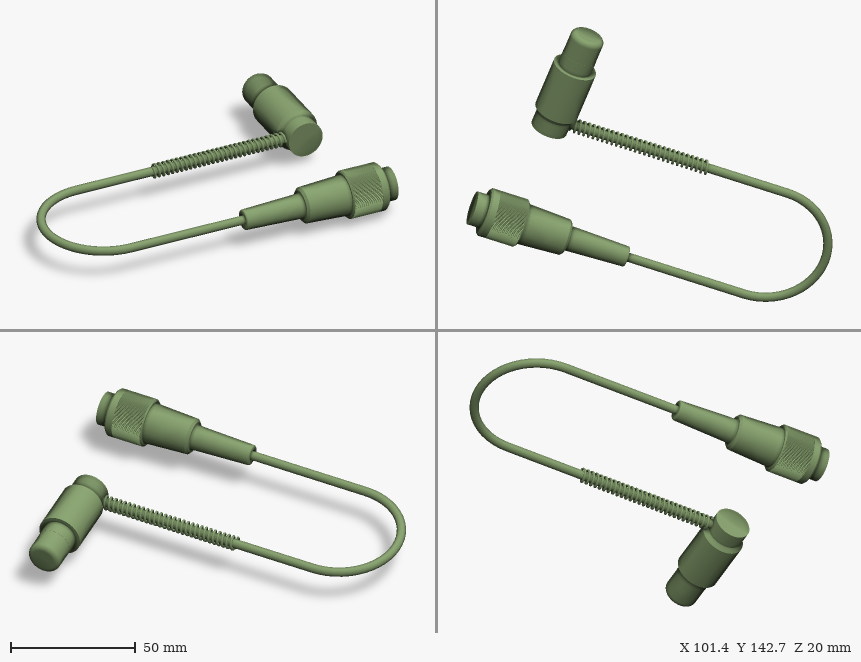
import cadquery as cq
import math


CABLE_DIAMETER = 3.7
BEND_RADIUS = 25.0
ANGLE_AXIS_Y = 99.8
LEFT_X = -BEND_RADIUS
RIGHT_X = BEND_RADIUS

HOUSING_DIAMETER = 18.0
HOUSING_START = LEFT_X - 25.5
HOUSING_END = LEFT_X - 3.9
COLLAR_DIAMETER = 15.0
COLLAR_START = LEFT_X - 2.0
COLLAR_END = LEFT_X + 4.5
NOSE_DIAMETER = 14.0
NOSE_TIP_DIAMETER = 13.8
NOSE_TIP_LENGTH = 10.3
NOSE_START = LEFT_X - 41.4
NOSE_ROUNDING = 2.1
PINHOLE_DIAMETER = 1.4
PINHOLE_DEPTH = 1.4
PINHOLE_X = LEFT_X - 6.4

WIRE_DIAMETER = 1.0
SPRING_OUTER_DIAMETER = 6.1
SPRING_PITCH = 2.0
SPRING_TURNS = 29.2

INSERT_DIAMETER = 13.8
INSERT_END = 115.8
RING_DIAMETER = 20
RING_START = 94.7
RING_END = 111.0
RING_CHAMFER = 0.7
KNURL_END = 107.5
KNURL_GROOVES = 120
KNURL_DEPTH = 0.3

BOOT_START = 49.9
BOOT_END = 97.7
BOOT_BASE_DIAMETER = 17.1
SHOULDER_Y = 75.5
SHOULDER_DIAMETER = 14.8
SHOULDER_CHAMFER = 1.0
NECK_BASE_DIAMETER = 10.3
NECK_ROUNDING = 0.5
NECK_END_DIAMETER = 8.4
NECK_END_ROUNDING = 0.7
CABLE_EXIT_DIAMETER = 4.8
CABLE_EXIT_DEPTH = 1.4


def cylinder_along_y(x, start, end, diameter):
    plane = cq.Plane(origin=(x, start, 0), xDir=(1, 0, 0), normal=(0, 1, 0))
    return cq.Workplane(plane).circle(diameter / 2).extrude(end - start)


def make_cable():
    path = (
        cq.Workplane("XY")
        .moveTo(LEFT_X, ANGLE_AXIS_Y)
        .lineTo(LEFT_X, 0)
        .threePointArc((0, -BEND_RADIUS), (RIGHT_X, 0))
        .lineTo(RIGHT_X, BOOT_END)
    )
    start = cq.Plane(origin=(LEFT_X, ANGLE_AXIS_Y, 0), xDir=(1, 0, 0), normal=(0, -1, 0))
    return cq.Workplane(start).circle(CABLE_DIAMETER / 2).sweep(path)


def make_angled_plug(cable):
    tip_end = NOSE_START + NOSE_TIP_LENGTH
    outline = [
        (NOSE_START, 0),
        (NOSE_START, NOSE_TIP_DIAMETER / 2),
        (tip_end, NOSE_TIP_DIAMETER / 2),
        (tip_end, NOSE_DIAMETER / 2),
        (HOUSING_START, NOSE_DIAMETER / 2),
        (HOUSING_START, HOUSING_DIAMETER / 2),
        (HOUSING_END, HOUSING_DIAMETER / 2),
        (COLLAR_START, COLLAR_DIAMETER / 2),
        (COLLAR_END, COLLAR_DIAMETER / 2),
        (COLLAR_END, 0),
    ]
    plug = (
        cq.Workplane("XY", origin=(0, ANGLE_AXIS_Y, 0))
        .polyline(outline)
        .close()
        .revolve(360, (0, 0, 0), (1, 0, 0))
    )
    plug = plug.faces("<X").edges().fillet(NOSE_ROUNDING)
    housing_front = ANGLE_AXIS_Y - HOUSING_DIAMETER / 2
    pinhole = cylinder_along_y(PINHOLE_X, housing_front, housing_front + PINHOLE_DEPTH, PINHOLE_DIAMETER)
    return plug.cut(pinhole).cut(cable)


def make_spring():
    start_y = ANGLE_AXIS_Y - COLLAR_DIAMETER / 2 - WIRE_DIAMETER / 2
    coil_radius = (SPRING_OUTER_DIAMETER - WIRE_DIAMETER) / 2
    helix = cq.Wire.makeHelix(SPRING_PITCH, SPRING_PITCH * SPRING_TURNS, coil_radius)
    coil = (
        cq.Workplane("XZ", origin=(coil_radius, 0, 0))
        .circle(WIRE_DIAMETER / 2)
        .sweep(cq.Workplane(helix), isFrenet=True)
    )
    return coil.rotate((0, 0, 0), (1, 0, 0), 90).translate((LEFT_X, start_y, 0))


def make_insert():
    return cylinder_along_y(RIGHT_X, BOOT_END, INSERT_END, INSERT_DIAMETER)


def knurl_outline():
    points = []
    for step in range(2 * KNURL_GROOVES):
        radius = RING_DIAMETER / 2 - KNURL_DEPTH * (step % 2)
        angle = math.pi * step / KNURL_GROOVES
        points.append((radius * math.cos(angle), radius * math.sin(angle)))
    return points


def make_ring(insert, boot, cable):
    ring = cylinder_along_y(RIGHT_X, RING_START, RING_END, RING_DIAMETER)
    ring = ring.faces("<Y or >Y").edges().chamfer(RING_CHAMFER)
    plane = cq.Plane(origin=(RIGHT_X, RING_START, 0), xDir=(1, 0, 0), normal=(0, 1, 0))
    knurl_length = KNURL_END - RING_START
    grooves = (
        cq.Workplane(plane)
        .circle(RING_DIAMETER)
        .polyline(knurl_outline())
        .close()
        .extrude(knurl_length)
    )
    return ring.cut(grooves).cut(insert).cut(boot).cut(cable)


def cone_along_y(x, start, end, start_diameter, end_diameter):
    outline = [(0, start), (start_diameter / 2, start), (end_diameter / 2, end), (0, end)]
    return (
        cq.Workplane("XY", origin=(x, 0, 0))
        .polyline(outline)
        .close()
        .revolve(360, (0, 0, 0), (0, 1, 0))
    )


def make_boot(cable):
    base = cone_along_y(RIGHT_X, SHOULDER_Y, BOOT_END, SHOULDER_DIAMETER, BOOT_BASE_DIAMETER)
    neck = cone_along_y(RIGHT_X, BOOT_START, SHOULDER_Y, NECK_END_DIAMETER, NECK_BASE_DIAMETER)
    boot = base.union(neck)
    boot = boot.edges("%CIRCLE").edges(cq.selectors.RadiusNthSelector(1)).fillet(NECK_ROUNDING)
    boot = boot.faces("<Y").edges().fillet(NECK_END_ROUNDING)
    boot = boot.edges("%CIRCLE").edges(cq.selectors.RadiusNthSelector(-2)).chamfer(SHOULDER_CHAMFER)
    cable_exit = cylinder_along_y(RIGHT_X, BOOT_START, BOOT_START + CABLE_EXIT_DEPTH, CABLE_EXIT_DIAMETER)
    return boot.cut(cable_exit).cut(cable)


cable = make_cable()
angled_plug = make_angled_plug(cable)
spring = make_spring()
insert = make_insert()
boot = make_boot(cable)
ring = make_ring(insert, boot, cable)

bodies = [cable, angled_plug, spring, insert, boot, ring]
result = cq.Compound.makeCompound([body.solids().val() for body in bodies])